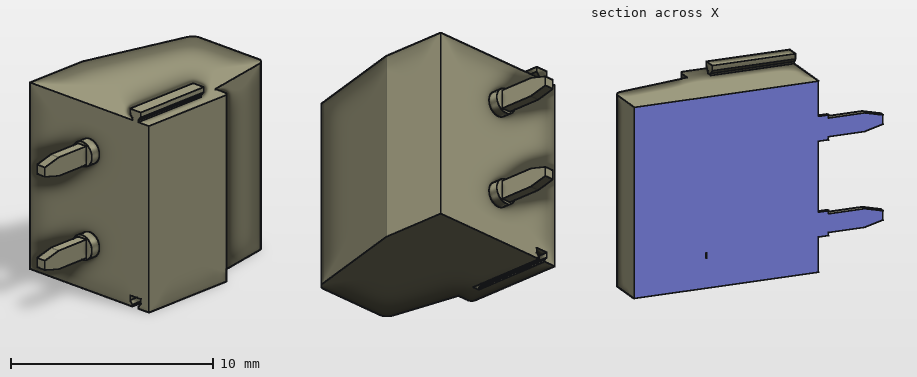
import cadquery as cq

overall_depth = 13.5
housing_width = 8.15
housing_depth = 10.0
housing_height = 10.0

left_wall_depth = 3.75
back_left_x = 1.67
back_right_x = 6.48
shoulder_depth = 5.72
shoulder_inner_x = 7.22
back_corner_radius = 0.5
shoulder_corner_radius = 0.25

dovetail_x = shoulder_inner_x
dovetail_head_width = 0.73
dovetail_neck_width = 0.4
dovetail_height = 0.57
dovetail_neck_height = 0.11
dovetail_flare_height = 0.19
dovetail_length = 4.52

pin_x = 4.1
pin_count = 2
pin_pitch = housing_height / pin_count
pin_reach = overall_depth - housing_depth
pin_thickness = 0.54
pin_height = 1.0
pin_tip_height = pin_height / 2
pin_taper_length = 1.0
collar_radius = 0.66
collar_length = 0.54


def make_housing():
    """Extrude the tapered outline and round its back and shoulder corners."""
    outline = [
        (0, 0),
        (housing_width, 0),
        (housing_width, shoulder_depth),
        (shoulder_inner_x, shoulder_depth),
        (back_right_x, housing_depth),
        (back_left_x, housing_depth),
        (0, left_wall_depth),
    ]
    block = cq.Workplane("XY").polyline(outline).close().extrude(housing_height)
    block = block.faces(">Y").edges("|Z").fillet(back_corner_radius)
    shoulder_corner = cq.selectors.NearestToPointSelector(
        (housing_width, shoulder_depth, housing_height / 2)
    )
    return block.edges("|Z").edges(shoulder_corner).fillet(shoulder_corner_radius)


def make_dovetail(base_z):
    """Make a dovetail bar that stands on base_z and runs back from the front face."""
    half_head = dovetail_head_width / 2
    half_neck = dovetail_neck_width / 2
    flare_top = dovetail_neck_height + dovetail_flare_height
    right_side = [
        (half_neck, 0),
        (half_neck, dovetail_neck_height),
        (half_head, flare_top),
        (half_head, dovetail_height),
    ]
    left_side = [(-x, z) for x, z in reversed(right_side)]
    bar = cq.Workplane("XZ").polyline(right_side + left_side).close().extrude(-dovetail_length)
    return bar.translate((dovetail_x, 0, base_z))


def make_pin(center_z):
    """Make one flat pin with a tapered tip, standing out of a round collar."""
    half_height = pin_height / 2
    half_tip = pin_tip_height / 2
    taper_start = pin_taper_length - pin_reach
    blade_outline = [
        (0, half_height),
        (taper_start, half_height),
        (-pin_reach, half_tip),
        (-pin_reach, -half_tip),
        (taper_start, -half_height),
        (0, -half_height),
    ]
    blade = cq.Workplane("YZ").polyline(blade_outline).close().extrude(pin_thickness / 2, both=True)
    collar = cq.Workplane("XZ").circle(collar_radius).extrude(collar_length)
    return blade.union(collar).translate((pin_x, 0, center_z))


result = make_housing().union(make_dovetail(housing_height)).cut(make_dovetail(0))
for index in range(pin_count):
    result = result.union(make_pin(pin_pitch / 2 + index * pin_pitch))